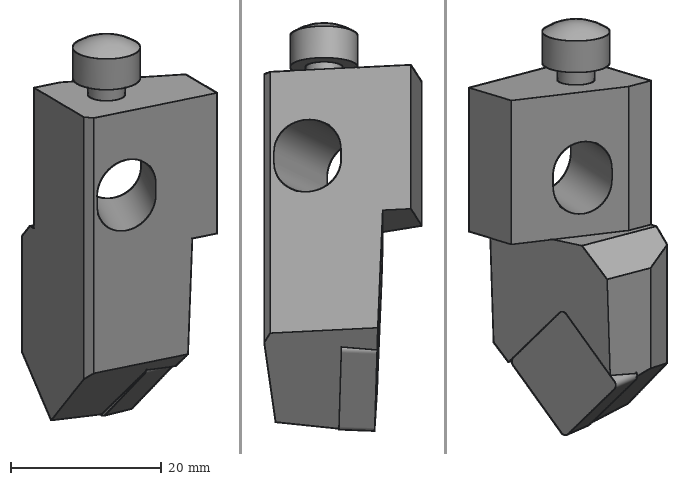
import cadquery as cq
import math

right_x = 20.0
depth = 20.0
total_height = 55.3
shank_top_z = 47.15
shank_bottom_z = 27.2
front_chamfer = 1.0

shank_left_x = 5.9
slant_start_y = 4.1
slant_angle = 20

head_left_x = 0.9
head_front_left_x = 2.75
head_flank_y = 4.75
shoulder_drop = 4.0
tip_front_x = 10.45
right_corner_z = 10.95
tip_front_z = right_corner_z - (right_x - tip_front_x)
cut_edge_angle = 43.5
clearance_angle = 10.0

rake_slope_x = math.tan(math.radians(10))
rake_slope_z = 0.041
rake_corner_y = 12.65
rake_corner_z = shank_bottom_z - shoulder_drop
rake_normal = cq.Vector(-rake_slope_x, 1, -rake_slope_z)

slot_width = 8.5
slot_height = 10.0
slot_y = 10.35
slot_z = 35.3

insert_side = 12.7
insert_thickness = 4.75
insert_radius = 0.8
insert_turn = 1.5
pocket_overhang = 2.75
insert_tip_z = -0.315
insert_tip_x = right_x - right_corner_z + insert_tip_z

screw_x = 13.05
screw_y = 7.0
neck_diameter = 5.0
neck_height = 2.3
screw_head_diameter = 9.0
screw_head_side = 4.35
dome_height = total_height - shank_top_z - neck_height - screw_head_side

cutter_size = 110.6


def rake_y(x, z):
    """Y of the rake plane at a given X and Z."""
    return rake_corner_y + rake_slope_x * (x - head_left_x) + rake_slope_z * (z - rake_corner_z)


def material_beyond(point, normal):
    """Large block lying on the normal's side of a plane."""
    plane = cq.Plane(origin=point, normal=normal)
    return cq.Workplane(plane).rect(cutter_size, cutter_size).extrude(cutter_size)


def make_shank():
    slant_end_x = shank_left_x + (depth - slant_start_y) * math.tan(math.radians(slant_angle))
    plan = [
        (shank_left_x, 0),
        (right_x - front_chamfer, 0),
        (right_x, front_chamfer),
        (right_x, depth),
        (slant_end_x, depth),
        (shank_left_x, slant_start_y),
    ]
    height = shank_top_z - shank_bottom_z
    return cq.Workplane("XY", origin=(0, 0, shank_bottom_z)).polyline(plan).close().extrude(height)


def make_head():
    plan = [
        (head_front_left_x, 0),
        (right_x - front_chamfer, 0),
        (right_x, front_chamfer),
        (right_x, depth),
        (head_left_x, depth),
        (head_left_x, head_flank_y),
    ]
    base_z = -depth
    head = cq.Workplane("XY", origin=(0, 0, base_z)).polyline(plan).close().extrude(shank_bottom_z - base_z)

    edge = math.radians(cut_edge_angle)
    clearance = math.tan(math.radians(clearance_angle))
    tip = (tip_front_x, 0, tip_front_z)
    head = head.cut(material_beyond((head_left_x, 0, rake_corner_z), (-1, 0, 1)))
    head = head.cut(material_beyond(tip, (1, 0, -1)))
    head = head.cut(material_beyond(tip, (-math.sin(edge), -clearance, -math.cos(edge))))
    return head.cut(material_beyond((head_left_x, rake_corner_y, rake_corner_z), rake_normal))


def make_slot():
    slant = math.radians(slant_angle)
    slot_x = shank_left_x + (slot_y - slant_start_y) * math.tan(slant)
    axis = (math.cos(slant), -math.sin(slant), 0)
    plane = cq.Plane(origin=(slot_x, slot_y, slot_z), xDir=(0, 0, 1), normal=axis)
    return cq.Workplane(plane).slot2D(slot_height, slot_width).extrude(depth, both=True)


def rounded_square(overhang):
    """Insert-shaped prism, grown outward past its two cutting edges by the overhang."""
    rise = math.tan(math.radians(45 + insert_turn))
    edge = cq.Vector(1, rake_slope_x + rake_slope_z * rise, rise)
    tip = (insert_tip_x, rake_y(insert_tip_x, insert_tip_z), insert_tip_z)
    plane = cq.Plane(origin=tip, xDir=edge, normal=rake_normal * -1)

    side = insert_side + overhang
    square = cq.Workplane(plane).center(-overhang, -overhang).rect(side, side, centered=False)
    corners = cq.selectors.ParallelDirSelector(rake_normal)
    return square.extrude(insert_thickness).edges(corners).fillet(insert_radius)


def make_insert():
    return rounded_square(0)


def make_pocket():
    return rounded_square(pocket_overhang)


def make_screw():
    neck = cq.Workplane("XY").circle(neck_diameter / 2).extrude(neck_height)
    radius = screw_head_diameter / 2
    side_top = neck_height + screw_head_side
    dome_radius = (radius**2 + dome_height**2) / (2 * dome_height)
    half = math.asin(radius / dome_radius) / 2
    crown = side_top + dome_height
    arc_mid = (dome_radius * math.sin(half), crown - dome_radius * (1 - math.cos(half)))
    head = (
        cq.Workplane("XZ")
        .moveTo(0, neck_height)
        .lineTo(radius, neck_height)
        .lineTo(radius, side_top)
        .threePointArc(arc_mid, (0, crown))
        .close()
        .revolve(360, (0, 0), (0, 1))
    )
    return neck.union(head).translate((screw_x, screw_y, shank_top_z))


insert = make_insert()
holder = make_shank().union(make_head()).cut(make_slot()).cut(make_pocket())
screw = make_screw()

result = cq.Compound.makeCompound([holder.val(), insert.val(), screw.val()])